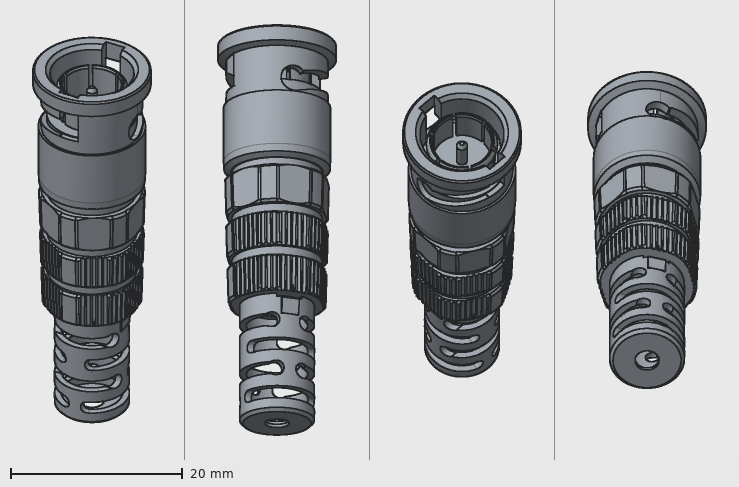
import cadquery as cq
import math

overall_height = 47.0
flange_bottom = 45.08
flange_cone_bottom = 44.75
collar_top = 39.1
sleeve_taper_start = 32.5
sleeve_chamfer_start = 31.55
sleeve_bottom = 31.1
shoulder_height = 40.85
contact_top = 45.15

core_radius = 5.27

flange_radius = 6.9
flange_edge_chamfer = 0.2
neck_radius = 5.95
collar_radius = 6.25
collar_bottom_radius = 6.2
sleeve_bottom_radius = 5.4
sleeve_bore_radius = 4.9
mouth_radius = 5.4
mouth_chamfer_depth = 0.5
keyway_half_width = 1.22
keyway_radius = 5.87
keyway_floor_drop = 0.1
keyway_floor = shoulder_height - keyway_floor_drop

ramp_slope = 0.255
ramp_end_radius = 1.55
ramp_end_y = 0.1
ramp_upper_height = 43.2
detent_y = -1.3

contact_inner_radius = 3.45
contact_outer_radius = 3.85
contact_bead_radius = 4.13
contact_lip_outer_radius = 3.75
contact_lip_inner_radius = 3.6
contact_lip_depth = 0.3
bead_bottom = 43.7
bead_middle = 44.2
slit_count = 6
slit_width = 0.45
pin_radius = 0.62
pin_tip_radius = 0.25
pin_tip_length = 0.5
pin_top = 44.55

flats = 6
ring_chamfer = 0.3
ring_taper_angle = 1.5
pad_half_width = 0.95
flat_corner_drop = 0.07
knurl_pitch = 0.66
knurl_radius = 0.22
knurls_per_flat = 5
knurls_per_pad = 3
plain_pad_angles = (90, 270)

grip_rings = [
    (25.4, 30.05, 5.83, 6.2, False),
    (20.1, 24.25, 5.72, 6.08, True),
    (14.55, 18.95, 5.58, 5.92, True),
]

boot_top = grip_rings[-1][0]
boot_radius = 4.37
boot_bore_radius = 3.58
boot_bore_recess = 0.6
boot_bore_top = boot_top + boot_bore_recess
boot_floor = 0.4
cable_hole_radius = 1.4
boot_chamfer = 0.4
vent_height = 1.5
vent_pitch = 3.0
vent_first_bottom = 1.6
vent_pairs = 4
lower_bridge_half_width = 0.75
upper_bridge_half_width = 1.24
bulb_diameter = 1.8
notch_half_width = 1.55
notch_height = 0.35
tab_half_width = 1.05
tab_bottom = 12.1
tab_top_radius = 4.55
tab_top_chamfer = 0.2


def revolve(points):
    """Solid of revolution about Z from (radius, height) points."""
    return cq.Workplane("XZ").polyline(points).close().revolve(360, (0, 0, 0), (0, 1, 0))


def cylinder(radius, bottom, top):
    return cq.Workplane("XY").workplane(offset=bottom).circle(radius).extrude(top - bottom)


def block(x_range, y_range, z_range):
    """Axis-aligned box given by its limits."""
    size = [limits[1] - limits[0] for limits in (x_range, y_range, z_range)]
    corner = (x_range[0], y_range[0], z_range[0])
    return cq.Workplane("XY").box(*size, centered=False).translate(corner)


def spin(shape, angle):
    return shape.rotate((0, 0, 0), (0, 0, 1), angle)


def keyway():
    """Axial entry groove on the -Y side, opening through the neck below the flange."""
    profile = [
        (0, overall_height),
        (-keyway_radius, overall_height),
        (-keyway_radius, flange_cone_bottom),
        (-flange_radius, flange_cone_bottom),
        (-flange_radius, keyway_floor),
        (0, keyway_floor),
    ]
    groove = cq.Workplane("YZ").polyline(profile).close()
    return groove.extrude(keyway_half_width, both=True)


def ramp_slot():
    """Sloping slot on the -X side from the keyway to its round detent end."""
    slope_angle = math.atan(ramp_slope)
    outer_y = -flange_radius
    tangent_y = ramp_end_y - ramp_end_radius * math.sin(slope_angle)
    tangent_z = shoulder_height - ramp_end_radius * math.cos(slope_angle)
    profile = [
        (outer_y, ramp_upper_height + ramp_slope * (-neck_radius - outer_y)),
        (detent_y, ramp_upper_height - ramp_slope * (detent_y + neck_radius)),
        (ramp_end_y, shoulder_height),
        (tangent_y, tangent_z),
        (outer_y, tangent_z + ramp_slope * (tangent_y - outer_y)),
    ]
    length = flange_radius - keyway_half_width
    plane = cq.Workplane("YZ").workplane(offset=-flange_radius)
    ramp = plane.polyline(profile).close().extrude(length)
    end = plane.center(ramp_end_y, shoulder_height).circle(ramp_end_radius).extrude(length)
    return ramp.union(end)


def make_sleeve():
    sleeve = revolve([
        (core_radius, sleeve_bottom),
        (sleeve_bottom_radius, sleeve_bottom),
        (collar_bottom_radius, sleeve_chamfer_start),
        (collar_radius, sleeve_taper_start),
        (collar_radius, collar_top),
        (neck_radius, collar_top),
        (neck_radius, flange_cone_bottom),
        (flange_radius, flange_bottom),
        (flange_radius, overall_height - flange_edge_chamfer),
        (flange_radius - flange_edge_chamfer, overall_height),
        (mouth_radius, overall_height),
        (sleeve_bore_radius, overall_height - mouth_chamfer_depth),
        (sleeve_bore_radius, shoulder_height),
        (core_radius, shoulder_height),
    ])
    opening = keyway().union(ramp_slot())
    for angle in (0, 180):
        sleeve = sleeve.cut(spin(opening, angle))
    return sleeve


def spring_contact():
    """Slotted contact tube with a bead around its lip."""
    profile = (
        cq.Workplane("XZ")
        .moveTo(contact_inner_radius, shoulder_height)
        .lineTo(contact_outer_radius, shoulder_height)
        .lineTo(contact_outer_radius, bead_bottom)
        .threePointArc((contact_bead_radius, bead_middle), (contact_lip_outer_radius, contact_top))
        .lineTo(contact_lip_inner_radius, contact_top)
        .lineTo(contact_inner_radius, contact_top - contact_lip_depth)
        .close()
    )
    tube = profile.revolve(360, (0, 0, 0), (0, 1, 0))
    for index in range(slit_count):
        slit = block((0, neck_radius), (-slit_width / 2, slit_width / 2), (shoulder_height, overall_height))
        tube = tube.cut(spin(slit, index * 360 / slit_count))
    return tube


def center_pin():
    return revolve([
        (0, shoulder_height),
        (pin_radius, shoulder_height),
        (pin_radius, pin_top - pin_tip_length),
        (pin_tip_radius, pin_top),
        (0, pin_top),
    ])


def chamfered_cone(top_radius, bottom, top):
    """Slightly tapered disc, narrower at the bottom, with both rims chamfered."""
    bottom_radius = top_radius - (top - bottom) * math.tan(math.radians(ring_taper_angle))
    return revolve([
        (0, bottom),
        (bottom_radius - ring_chamfer, bottom),
        (bottom_radius, bottom + ring_chamfer),
        (top_radius, top - ring_chamfer),
        (top_radius - ring_chamfer, top),
        (0, top),
    ])


def grip_ring(bottom, top, flat_radius, pad_radius, knurled):
    """Hexagonal ring with a raised pad on each corner and optional grooves on each flat."""
    hexagon_diameter = 2 * flat_radius / math.cos(math.pi / flats)
    hexagon = cq.Workplane("XY").workplane(offset=top).polygon(flats, hexagon_diameter)
    hexagon = spin(hexagon.extrude(bottom - top, taper=ring_taper_angle), 180 / flats)
    ring = hexagon.intersect(chamfered_cone(pad_radius - flat_corner_drop, bottom, top))
    pad_disc = chamfered_cone(pad_radius, bottom, top)
    corner_block = block((0, pad_radius), (-pad_half_width, pad_half_width), (bottom, top))
    for index in range(flats):
        flat_angle = index * 360 / flats
        pad_angle = flat_angle + 180 / flats
        pad = pad_disc.intersect(spin(corner_block, pad_angle))
        if knurled:
            flat_grooves = knurl_grooves(bottom, top, flat_radius, knurls_per_flat)
            ring = ring.cut(spin(flat_grooves, flat_angle))
        ring = ring.union(pad)
    if knurled:
        pad_grooves = knurl_grooves(bottom, top, pad_radius, knurls_per_pad)
        for index in range(flats):
            pad_angle = (index + 1 / 2) * 360 / flats
            if pad_angle not in plain_pad_angles:
                ring = ring.cut(spin(pad_grooves, pad_angle))
    return ring


def knurl_grooves(bottom, top, radius, count):
    """Row of upright round grooves facing +X at the given radius, leaning with the ring taper."""
    offsets = [(index - (count - 1) / 2) * knurl_pitch for index in range(count)]
    plane = cq.Workplane("XY").workplane(offset=bottom)
    grooves = plane.pushPoints([(radius, y) for y in offsets]).circle(knurl_radius).extrude(top - bottom)
    return grooves.rotate((radius, 0, top), (radius, 1, top), ring_taper_angle)


def vent_cutter(bottom, bridge_half_width, end_diameter):
    """Pair of slots cut along Y, leaving a bridge with round slot ends at +X and -X."""
    cutter = None
    middle = bottom + vent_height / 2
    boot_reach = boot_radius + boot_chamfer
    for side in (-1, 1):
        end_y = side * (bridge_half_width + end_diameter / 2)
        span = sorted((end_y, side * boot_reach))
        slot = block((-boot_reach, boot_reach), span, (bottom, bottom + vent_height))
        ends = cq.Workplane("YZ").center(end_y, middle).circle(end_diameter / 2)
        slot = slot.union(ends.extrude(boot_reach, both=True))
        cutter = slot if cutter is None else cutter.union(slot)
    return cutter


def boot_tab():
    """Tapered latch tab on the +X side under the last grip ring."""
    tab_top = boot_top - notch_height
    profile = [
        (boot_bore_radius, tab_bottom),
        (boot_radius, tab_bottom),
        (tab_top_radius, tab_top - tab_top_chamfer),
        (tab_top_radius - tab_top_chamfer, tab_top),
        (boot_bore_radius, tab_top),
    ]
    return cq.Workplane("XZ").polyline(profile).close().extrude(tab_half_width, both=True)


def make_boot():
    boot = cylinder(boot_radius, 0, boot_top).faces("<Z").chamfer(boot_chamfer)
    for angle in (0, 180):
        boot = boot.union(spin(boot_tab(), angle))
    boot = boot.cut(cylinder(boot_bore_radius, boot_floor, boot_top))
    boot = boot.cut(cylinder(cable_hole_radius, 0, boot_floor))
    for index in range(vent_pairs):
        bottom = vent_first_bottom + index * vent_pitch
        lower = index < vent_pairs / 2
        bridge = lower_bridge_half_width if lower else upper_bridge_half_width
        along_y = index % 2 == 1
        cutter = vent_cutter(bottom, bridge, bulb_diameter if along_y else vent_height)
        boot = boot.cut(spin(cutter, 0 if along_y else 90))
    notch = block(
        (-collar_radius, collar_radius),
        (-notch_half_width, notch_half_width),
        (boot_top - notch_height, boot_top),
    )
    return boot.cut(notch)


def make_body():
    body = cylinder(core_radius, boot_top, shoulder_height)
    body = body.union(spring_contact()).union(center_pin())
    for ring in grip_rings:
        body = body.union(grip_ring(*ring))
    body = body.cut(cylinder(boot_bore_radius, boot_top, boot_bore_top))
    return body.union(make_boot())


sleeve = make_sleeve()
body = make_body()

result = cq.Compound.makeCompound([sleeve.val(), body.val()])